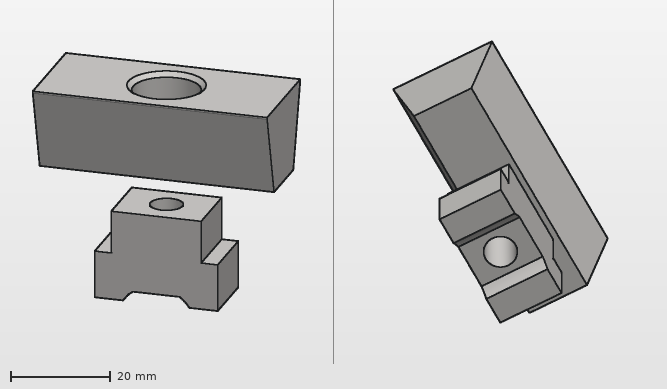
import cadquery as cq
import math

TOTAL_HEIGHT = 44.75

WEDGE_LENGTH = 49.5
WEDGE_TOP_WIDTH = 22.5
WEDGE_HEIGHT = 17.85
WEDGE_LAND = 0.35
FLANK_ANGLE = 15.0
HEAD_BORE_DIAMETER = 14.0
HEAD_BORE_DEPTH = 8.3
HEAD_BORE_CHAMFER = 1.0
SCREW_HOLE_DIAMETER = 8.5
SCREW_HOLE_CHAMFER = 0.5

NUT_BASE_LENGTH = 26.0
NUT_NECK_LENGTH = 19.0
NUT_WIDTH = 14.0
NUT_HEIGHT = 19.0
NUT_BASE_HEIGHT = 10.0
NUT_HOLE_DIAMETER = 6.8
RELIEF_BOTTOM_LENGTH = 14.0
RELIEF_TOP_LENGTH = 9.9
RELIEF_HEIGHT = 2.15
RELIEF_SIDE_RADIUS = 8.35

WEDGE_BOTTOM_Z = TOTAL_HEIGHT - WEDGE_HEIGHT


def vertical_cylinder(diameter, bottom_z, top_z):
    return cq.Workplane("XY").workplane(offset=bottom_z).circle(diameter / 2).extrude(top_z - bottom_z)


def chamfer_cone(hole_diameter, chamfer, top_z):
    """45 degree countersink that widens upwards to its rim at top_z."""
    hole_radius = hole_diameter / 2
    return cq.Workplane(
        cq.Solid.makeCone(hole_radius, hole_radius + chamfer, chamfer, cq.Vector(0, 0, top_z - chamfer))
    )


def make_wedge():
    land_z = TOTAL_HEIGHT - WEDGE_LAND
    half_top = WEDGE_TOP_WIDTH / 2
    half_bottom = half_top - (land_z - WEDGE_BOTTOM_Z) * math.tan(math.radians(FLANK_ANGLE))
    bar = (
        cq.Workplane("YZ")
        .polyline([
            (-half_bottom, WEDGE_BOTTOM_Z),
            (half_bottom, WEDGE_BOTTOM_Z),
            (half_top, land_z),
            (half_top, TOTAL_HEIGHT),
            (-half_top, TOTAL_HEIGHT),
            (-half_top, land_z),
        ])
        .close()
        .extrude(WEDGE_LENGTH / 2, both=True)
    )
    seat_z = TOTAL_HEIGHT - HEAD_BORE_DEPTH
    return (
        bar
        .cut(vertical_cylinder(HEAD_BORE_DIAMETER, seat_z, TOTAL_HEIGHT))
        .cut(chamfer_cone(HEAD_BORE_DIAMETER, HEAD_BORE_CHAMFER, TOTAL_HEIGHT))
        .cut(vertical_cylinder(SCREW_HOLE_DIAMETER, WEDGE_BOTTOM_Z, seat_z))
        .cut(chamfer_cone(SCREW_HOLE_DIAMETER, SCREW_HOLE_CHAMFER, seat_z))
    )


def make_t_nut():
    half_base = NUT_BASE_LENGTH / 2
    half_neck = NUT_NECK_LENGTH / 2
    half_relief_bottom = RELIEF_BOTTOM_LENGTH / 2
    half_relief_top = RELIEF_TOP_LENGTH / 2
    block = (
        cq.Workplane("XZ")
        .moveTo(-half_base, 0)
        .lineTo(-half_relief_bottom, 0)
        .radiusArc((-half_relief_top, RELIEF_HEIGHT), RELIEF_SIDE_RADIUS)
        .lineTo(half_relief_top, RELIEF_HEIGHT)
        .radiusArc((half_relief_bottom, 0), RELIEF_SIDE_RADIUS)
        .lineTo(half_base, 0)
        .lineTo(half_base, NUT_BASE_HEIGHT)
        .lineTo(half_neck, NUT_BASE_HEIGHT)
        .lineTo(half_neck, NUT_HEIGHT)
        .lineTo(-half_neck, NUT_HEIGHT)
        .lineTo(-half_neck, NUT_BASE_HEIGHT)
        .lineTo(-half_base, NUT_BASE_HEIGHT)
        .close()
        .extrude(NUT_WIDTH / 2, both=True)
    )
    return block.cut(vertical_cylinder(NUT_HOLE_DIAMETER, 0, NUT_HEIGHT))


wedge = make_wedge()
t_nut = make_t_nut()

result = cq.Compound.makeCompound([wedge.val(), t_nut.val()])